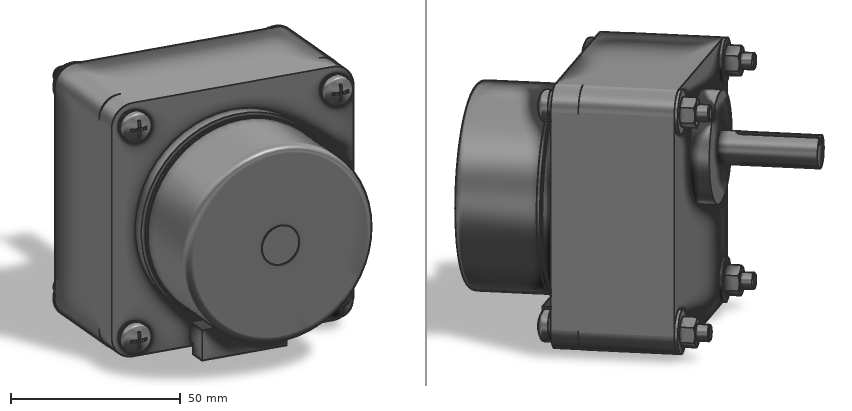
import cadquery as cq
import math


SQUARE = 80.0
HOUSING_BACK = 28.8
PLATE_BACK = 37.1
HOUSING_CORNER_R = 6.7
PLATE_CORNER_R = 7.0

SHAFT_AXIS_Z = 15.0
BOSS_R = 17.0
BOSS_LENGTH = 6.0
SHAFT_R = 5.0
SHAFT_TIP = -36.0
KEYWAY_WIDTH = 4.0
KEYWAY_DEPTH = 2.5
KEYWAY_LENGTH = 25.3

FLANGE_R = 32.3
FLANGE_BACK = 41.1
HUB_R = 12.5
SPIGOT_R = 29.2
SPIGOT_FRONT = 41.4
RIM_R = 31.5
RIM_FRONT = 42.1
RIM_BACK = 43.1
CAN_R = 31.1
CAN_BACK = 68.1
CAN_EDGE_R = 2.3
END_DISC_R = 6.2
END_DISC_BACK = 68.4

CONNECTOR_WIDTH = 28.0
CONNECTOR_FRONT = 38.6
CONNECTOR_BACK = 44.8
CONNECTOR_TOP = -32.4
CONNECTOR_BOTTOM = -42.0
NECK_BOTTOM = -38.6

BOLT_OFFSET = SQUARE / 2 - HOUSING_CORNER_R
BOLT_R = 2.5
BOLT_TIP = -9.6
BOLT_CHAMFER = 0.4
WASHER_R = HOUSING_CORNER_R
WASHER_FRONT = -1.0
NUT_FRONT = -5.6
NUT_FLATS = 8.0
NUT_CHAMFER_LENGTH = 0.3
SPRING_WASHER_R = 4.6
SPRING_WASHER_BACK = 38.4
HEAD_R = 4.8
HEAD_SIDE_BACK = 39.8
DOME_R = 4.1
DOME_FRONT = 41.0
HEAD_TOP = 42.2
RECESS_LENGTH = 5.2
RECESS_WIDTH = 0.7
RECESS_DEPTH = 1.6


def cylinder(radius, x_start, x_end, y=0, z=0):
    """Round bar parallel to X."""
    return cq.Workplane("YZ", origin=(x_start, y, z)).circle(radius).extrude(x_end - x_start)


def block(x_start, x_end, width, z_bottom, z_top):
    """Box centred on Y = 0."""
    return (
        cq.Workplane("XY")
        .box(x_end - x_start, width, z_top - z_bottom, centered=(False, True, False))
        .translate((x_start, 0, z_bottom))
    )


def rounded_square(x_start, x_end, corner_radius):
    """Square slab with its four X-direction edges rounded."""
    slab = block(x_start, x_end, SQUARE, -SQUARE / 2, SQUARE / 2)
    return slab.edges("|X").fillet(corner_radius)


def make_shaft():
    """Output shaft with a keyway that is open at the tip and round at its inner end."""
    shaft = cylinder(SHAFT_R, SHAFT_TIP, 0, z=SHAFT_AXIS_Z)
    end_centre_x = SHAFT_TIP + KEYWAY_LENGTH - KEYWAY_WIDTH / 2
    keyway = (
        cq.Workplane("XY", origin=(0, 0, SHAFT_AXIS_Z + SHAFT_R - KEYWAY_DEPTH))
        .moveTo(SHAFT_TIP, -KEYWAY_WIDTH / 2)
        .lineTo(end_centre_x, -KEYWAY_WIDTH / 2)
        .threePointArc((SHAFT_TIP + KEYWAY_LENGTH, 0), (end_centre_x, KEYWAY_WIDTH / 2))
        .lineTo(SHAFT_TIP, KEYWAY_WIDTH / 2)
        .close()
        .extrude(KEYWAY_DEPTH)
    )
    return shaft.cut(keyway)


def make_motor():
    """Flange, hub and can as one turned profile about the motor axis."""
    return (
        cq.Workplane("XY")
        .moveTo(PLATE_BACK, 0)
        .lineTo(PLATE_BACK, FLANGE_R)
        .lineTo(FLANGE_BACK, FLANGE_R)
        .lineTo(FLANGE_BACK, HUB_R)
        .lineTo(SPIGOT_FRONT, HUB_R)
        .lineTo(SPIGOT_FRONT, SPIGOT_R)
        .lineTo(RIM_FRONT, SPIGOT_R)
        .lineTo(RIM_FRONT, RIM_R)
        .lineTo(RIM_BACK, RIM_R)
        .lineTo(RIM_BACK, CAN_R)
        .lineTo(CAN_BACK - CAN_EDGE_R, CAN_R)
        .radiusArc((CAN_BACK, CAN_R - CAN_EDGE_R), CAN_EDGE_R)
        .lineTo(CAN_BACK, END_DISC_R)
        .lineTo(END_DISC_BACK, END_DISC_R)
        .lineTo(END_DISC_BACK, 0)
        .close()
        .revolve(360, (0, 0, 0), (1, 0, 0))
    )


def make_connector():
    """Connector block and the neck that joins it to the mounting plate."""
    neck = block(PLATE_BACK, CONNECTOR_FRONT, CONNECTOR_WIDTH, NECK_BOTTOM, CONNECTOR_TOP)
    body = block(CONNECTOR_FRONT, CONNECTOR_BACK, CONNECTOR_WIDTH, CONNECTOR_BOTTOM, CONNECTOR_TOP)
    return neck.union(body)


def make_gearmotor(bolt_places):
    """Housing, plate, boss, shaft, motor and connector, with four bolt holes."""
    gearmotor = (
        rounded_square(0, HOUSING_BACK, HOUSING_CORNER_R)
        .union(rounded_square(HOUSING_BACK, PLATE_BACK, PLATE_CORNER_R), clean=False)
        .union(cylinder(BOSS_R, -BOSS_LENGTH, 0, z=SHAFT_AXIS_Z), clean=False)
        .union(make_shaft(), clean=False)
        .union(make_motor(), clean=False)
        .union(make_connector(), clean=False)
    )
    for y, z in bolt_places:
        gearmotor = gearmotor.cut(cylinder(BOLT_R, 0, PLATE_BACK, y, z), clean=False)
    return gearmotor


def make_nut():
    """Hexagon nut with corners up and down and both ends chamfered at 30 degrees."""
    corner_r = NUT_FLATS / math.sqrt(3)
    face_r = corner_r - NUT_CHAMFER_LENGTH * math.sqrt(3)
    hexagon = (
        cq.Workplane("YZ", origin=(NUT_FRONT, 0, 0))
        .polygon(6, 2 * corner_r)
        .extrude(WASHER_FRONT - NUT_FRONT)
        .rotate((0, 0, 0), (1, 0, 0), 30)
    )
    chamfer_limit = (
        cq.Workplane("XY")
        .moveTo(NUT_FRONT, 0)
        .lineTo(NUT_FRONT, face_r)
        .lineTo(NUT_FRONT + NUT_CHAMFER_LENGTH, corner_r)
        .lineTo(WASHER_FRONT - NUT_CHAMFER_LENGTH, corner_r)
        .lineTo(WASHER_FRONT, face_r)
        .lineTo(WASHER_FRONT, 0)
        .close()
        .revolve(360, (0, 0, 0), (1, 0, 0))
    )
    return hexagon.intersect(chamfer_limit)


def make_head():
    """Domed screw head with a cross recess."""
    dome_height = HEAD_TOP - DOME_FRONT
    sphere_r = (DOME_R**2 + dome_height**2) / (2 * dome_height)
    rim_rounding_r = DOME_FRONT - HEAD_SIDE_BACK
    head = (
        cq.Workplane("XY")
        .moveTo(SPRING_WASHER_BACK, 0)
        .lineTo(SPRING_WASHER_BACK, HEAD_R)
        .lineTo(HEAD_SIDE_BACK, HEAD_R)
        .radiusArc((DOME_FRONT, DOME_R), rim_rounding_r)
        .radiusArc((HEAD_TOP, 0), sphere_r)
        .close()
        .revolve(360, (0, 0, 0), (1, 0, 0))
    )
    recess_floor = HEAD_TOP - RECESS_DEPTH
    for angle in (0, 90):
        arm = block(recess_floor, HEAD_TOP, RECESS_WIDTH, -RECESS_LENGTH / 2, RECESS_LENGTH / 2)
        head = head.cut(arm.rotate((0, 0, 0), (1, 0, 0), angle))
    return head


def make_fastener(y, z):
    """Bolt with its head, spring washer, flat washer and nut, at one corner."""
    bolt = cylinder(BOLT_R, BOLT_TIP, SPRING_WASHER_BACK).faces("<X").chamfer(BOLT_CHAMFER)
    return (
        bolt.union(cylinder(WASHER_R, WASHER_FRONT, 0))
        .union(make_nut())
        .union(cylinder(SPRING_WASHER_R, PLATE_BACK, SPRING_WASHER_BACK))
        .union(make_head())
        .translate((0, y, z))
    )


bolt_places = [(y, z) for y in (-BOLT_OFFSET, BOLT_OFFSET) for z in (-BOLT_OFFSET, BOLT_OFFSET)]
gearmotor = make_gearmotor(bolt_places)
fasteners = [make_fastener(y, z) for y, z in bolt_places]

result = cq.Compound.makeCompound([gearmotor.val(), *[fastener.val() for fastener in fasteners]])